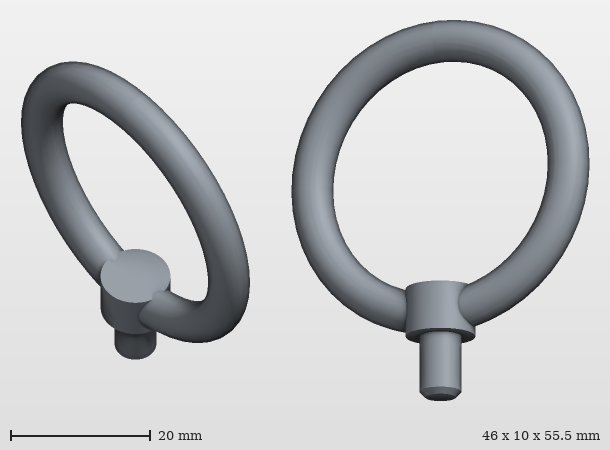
import cadquery as cq

total_height = 55.5
ring_outer_diameter = 46.0
wire_diameter = 6.0

hub_diameter = 10.0
hub_height = 7.0
stud_diameter = 6.0
stud_length = 9.0
tip_chamfer = 0.85

ring_centre_radius = (ring_outer_diameter - wire_diameter) / 2
ring_centre_z = total_height - ring_outer_diameter / 2


def make_ring():
    """Round-wire ring standing in the XZ plane."""
    return cq.Workplane(
        cq.Solid.makeTorus(
            ring_centre_radius,
            wire_diameter / 2,
            cq.Vector(0, 0, ring_centre_z),
            cq.Vector(0, 1, 0),
        )
    )


def make_hub():
    """Cylindrical collar joining the ring to the stud."""
    return cq.Workplane("XY").workplane(offset=stud_length).circle(hub_diameter / 2).extrude(hub_height)


def make_stud():
    """Plain stud with a chamfered lower end."""
    stud = cq.Workplane("XY").circle(stud_diameter / 2).extrude(stud_length)
    return stud.faces("<Z").chamfer(tip_chamfer)


result = make_hub().union(make_stud()).union(make_ring())